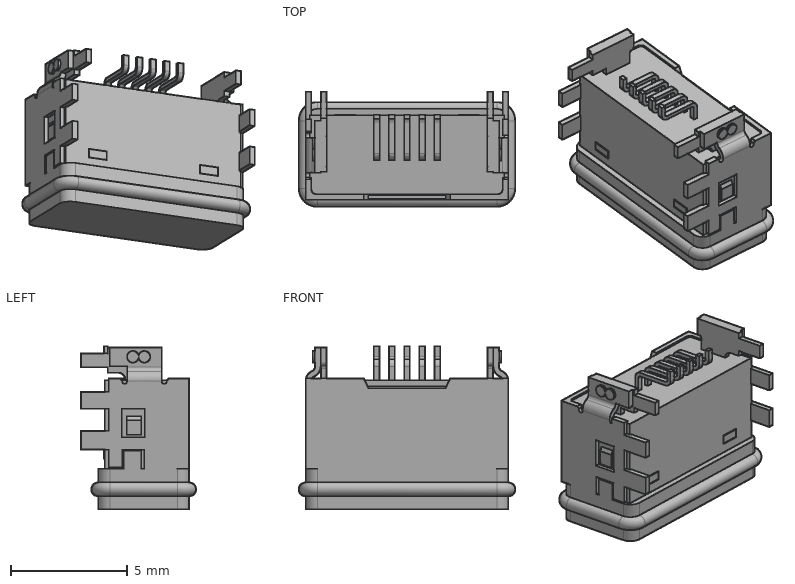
import cadquery as cq
import math

half_width = 4.35
half_depth = 1.95
base_height = 1.75
base_corner_radius = 0.5
seal_radius = 0.3
seal_height = 0.86

core_half_width = 4.17
core_back = 1.67
core_top = 5.54
pad_size = (0.86, 0.04, 0.38)
pad_centre_x = 2.65
pad_bottom = 2.18

sheet = 0.25
shell_top = 5.62
shell_back = 1.51
shell_inner_radius = 0.195
front_inner = sheet - half_depth

notch_top_half = 1.85
notch_floor_half = 1.66
notch_floor = 5.2
lip_height = 0.07
lip_width = 0.15
lip_front = -1.9

leg_end = 2.7
shell_leg_spans = [(2.57, 3.37), (4.315, 5.04)]
plate_leg_span = (6.09, 6.7)

window_y = (-0.05, 0.95)
window_z = (3.1, 4.315)
latch_y = (0.11, 0.73)
latch_z = (3.2, 3.99)
latch_ramp = 0.18
latch_depth = 0.09
slot_y = (-0.02, 0.91)
slot_top = 2.57
tongue_y = (0.11, 0.85)
tongue_top = 2.51
rear_gap = 0.06

tab_y = (-0.78, 0.72)
tab_head_back = 1.45
tab_head_bottom = 6.15
tab_top = 6.95
tab_outer = 3.95
bend_start = 5.515
bend_end = 6.13
outer_bend_radius = 0.46
relief_width = 0.2
relief_bottom = 5.385
relief_chamfer = 0.08
rivet_radius = 0.25
rivet_height = 0.1
rivet_z = 6.55
rivet_centres_y = (-0.03, 0.465)

plate_outer = tab_outer - sheet
plate_front = -0.74
plate_back = 1.54
plate_back_bottom = 5.86
plate_front_bottom = 6.29
foot_back = 0.79
foot_step_radius = 0.11
foot_front = plate_front + 2 * foot_step_radius

pin_count = 5
pin_pitch = 0.65
pin_width = 0.25
pin_thickness = 0.18
pin_inner_radius = 0.12
pin_front = -0.24
pin_back = 1.71
pin_level = 6.445
pin_top = 7.0


def block(x_range, y_range, z_range):
    """Axis-aligned box between the given limits."""
    sizes = [high - low for low, high in (x_range, y_range, z_range)]
    corner = (x_range[0], y_range[0], z_range[0])
    return cq.Workplane("XY").box(*sizes, centered=False).translate(corner)


def side_prism(profile, x_start, thickness):
    """Close the YZ outline drawn by profile and extrude it in +X from x_start."""
    plane = cq.Workplane("YZ", origin=(x_start, 0, 0))
    return profile(plane).close().extrude(thickness)


def make_base():
    base = (
        cq.Workplane("XY")
        .rect(2 * half_width, 2 * half_depth)
        .extrude(base_height)
        .edges("|Z")
        .fillet(base_corner_radius)
    )
    path = base.faces("<Z").wires().val().translate(cq.Vector(0, 0, seal_height))
    seal = (
        cq.Workplane("YZ", origin=(0, -half_depth, seal_height))
        .circle(seal_radius)
        .sweep(cq.Workplane(path))
    )
    return base.union(seal)


def make_core():
    core = block(
        (-core_half_width, core_half_width), (front_inner, core_back), (0, core_top)
    )
    core = core.edges("|Z and <Y").fillet(shell_inner_radius)
    for side in (-1, 1):
        pad = cq.Workplane("XY").box(*pad_size, centered=(True, False, False))
        core = core.union(pad.translate((side * pad_centre_x, core_back, pad_bottom)))
    return core


def make_shell_frame():
    """Front wall and two side walls, open at the back, with the front notch."""
    inner_half = half_width - sheet
    frame = block(
        (-half_width, half_width), (-half_depth, shell_back), (base_height, shell_top)
    )
    opening = block(
        (-inner_half, inner_half), (front_inner, shell_back), (base_height, shell_top)
    )
    frame = frame.cut(opening.edges("|Z and <Y").fillet(shell_inner_radius))
    notch = (
        cq.Workplane("XZ", origin=(0, front_inner, 0))
        .moveTo(-notch_top_half, shell_top)
        .lineTo(notch_top_half, shell_top)
        .lineTo(notch_floor_half, notch_floor)
        .lineTo(-notch_floor_half, notch_floor)
        .close()
        .extrude(sheet)
    )
    lip = block(
        (-notch_floor_half, notch_floor_half),
        (lip_front, lip_front + lip_width),
        (notch_floor, notch_floor + lip_height),
    )
    return frame.cut(notch).union(lip)


def relief_cut(edge_y, direction, wall_x):
    """Round-bottomed relief beside the tab, chamfered on the side away from it."""
    far_y = edge_y + direction * relief_width
    round_centre = relief_bottom + relief_width / 2
    return side_prism(
        lambda plane: plane.moveTo(edge_y, shell_top)
        .lineTo(edge_y, round_centre)
        .threePointArc(((edge_y + far_y) / 2, relief_bottom), (far_y, round_centre))
        .lineTo(far_y, shell_top - relief_chamfer)
        .lineTo(far_y + direction * relief_chamfer, shell_top),
        *wall_x,
    )


def half_relief_cut(edge_y, wall_x):
    """Narrow relief behind the tab, ending in a quarter round."""
    radius = relief_width / 2
    return side_prism(
        lambda plane: plane.moveTo(edge_y, shell_top)
        .lineTo(edge_y, relief_bottom + radius)
        .radiusArc((edge_y + radius, relief_bottom), -radius)
        .lineTo(edge_y + radius, shell_top),
        *wall_x,
    )


def cut_side_wall(frame, narrow_back_relief):
    """Openings in the +X wall of the shell."""
    wall_start = half_width - sheet
    wall = (wall_start, half_width)
    frame = frame.cut(block(wall, window_y, window_z))
    frame = frame.cut(block(wall, slot_y, (base_height, slot_top)))
    frame = frame.union(block(wall, tongue_y, (base_height, tongue_top)))
    frame = frame.cut(
        block(wall, (tongue_y[1], shell_back), (base_height, base_height + rear_gap))
    )
    frame = frame.cut(block(wall, tab_y, (bend_start, shell_top)))
    tab_front, tab_back = tab_y
    wall_x = (wall_start, sheet)
    frame = frame.cut(relief_cut(tab_front, -1, wall_x))
    if narrow_back_relief:
        return frame.cut(half_relief_cut(tab_back, wall_x))
    return frame.cut(relief_cut(tab_back, 1, wall_x))


def make_shell_legs():
    legs = cq.Workplane("XY")
    for span in shell_leg_spans:
        legs = legs.union(block((half_width - sheet, half_width), (shell_back, leg_end), span))
    return legs


def make_latch():
    """Catch on the core, seen through the window, ramped at its top."""
    return (
        cq.Workplane("XZ", origin=(0, latch_y[1], 0))
        .moveTo(core_half_width, latch_z[0])
        .lineTo(core_half_width + latch_depth, latch_z[0])
        .lineTo(core_half_width + latch_depth, latch_z[1] - latch_ramp)
        .lineTo(core_half_width, latch_z[1])
        .close()
        .extrude(latch_y[1] - latch_y[0])
    )


def make_tab():
    """S-bent tab: two bends of equal and opposite angle, then a flat riveted head."""
    rise = bend_end - bend_start
    shift = half_width - tab_outer
    angle = 2 * math.atan2(shift, rise)
    upper_outer = rise / math.sin(angle) - outer_bend_radius
    lower_centre = (half_width - outer_bend_radius, bend_start)
    upper_centre = (tab_outer + upper_outer, bend_end)

    def on_lower(radius, turn):
        return (
            lower_centre[0] + radius * math.cos(turn),
            lower_centre[1] + radius * math.sin(turn),
        )

    def on_upper(radius, turn):
        return (
            upper_centre[0] - radius * math.cos(turn),
            upper_centre[1] - radius * math.sin(turn),
        )

    lower_inner = outer_bend_radius - sheet
    upper_inner = upper_outer + sheet
    strip = (
        cq.Workplane("XZ", origin=(0, tab_y[1], 0))
        .moveTo(half_width, bend_start)
        .threePointArc(on_lower(outer_bend_radius, angle / 2), on_lower(outer_bend_radius, angle))
        .threePointArc(on_upper(upper_outer, angle / 2), on_upper(upper_outer, 0))
        .lineTo(tab_outer, tab_top)
        .lineTo(plate_outer, tab_top)
        .lineTo(plate_outer, bend_end)
        .threePointArc(on_upper(upper_inner, angle / 2), on_upper(upper_inner, angle))
        .threePointArc(on_lower(lower_inner, angle / 2), on_lower(lower_inner, 0))
        .close()
        .extrude(tab_y[1] - tab_y[0])
    )
    head = block(
        (plate_outer, tab_outer), (tab_y[0], tab_head_back), (tab_head_bottom, tab_top)
    )
    tab = strip.union(head)
    for centre_y in rivet_centres_y:
        rivet = cq.Workplane("YZ", origin=(plate_outer, centre_y, rivet_z)).circle(rivet_radius)
        tab = tab.union(rivet.extrude(sheet + rivet_height))
    return tab


def make_plate(filleted_back):
    """Plate standing on the core, with a stepped foot and a leg to the back."""
    plate_x = (plate_outer - sheet, plate_outer)
    step = foot_step_radius
    plate = side_prism(
        lambda plane: plane.moveTo(foot_front, core_top)
        .lineTo(foot_front, plate_front_bottom - 2 * step)
        .radiusArc((foot_front - step, plate_front_bottom - step), -step)
        .radiusArc((plate_front, plate_front_bottom), step)
        .lineTo(plate_front, tab_top)
        .lineTo(plate_back, tab_top)
        .lineTo(plate_back, plate_back_bottom)
        .lineTo(foot_back, plate_back_bottom)
        .lineTo(foot_back, core_top),
        plate_x[0],
        sheet,
    )
    if filleted_back:
        radius = plate_back_bottom - core_top
        fillet = side_prism(
            lambda plane: plane.moveTo(foot_back, core_top)
            .lineTo(foot_back, plate_back_bottom)
            .lineTo(foot_back + radius, plate_back_bottom)
            .radiusArc((foot_back, core_top), -radius),
            plate_x[0],
            sheet,
        )
        plate = plate.union(fillet)
    leg = block(plate_x, (plate_back, leg_end), plate_leg_span)
    return plate.union(leg)


def make_pin(centre_x):
    """Pin rising from the core, running backwards, then turning up again."""
    outer_radius = pin_inner_radius + pin_thickness
    lower_level = pin_level - pin_thickness
    return side_prism(
        lambda plane: plane.moveTo(pin_front, core_top)
        .lineTo(pin_front, pin_level - outer_radius)
        .radiusArc((pin_front + outer_radius, pin_level), outer_radius)
        .lineTo(pin_back - outer_radius, pin_level)
        .radiusArc((pin_back - pin_thickness, pin_level + pin_inner_radius), -pin_inner_radius)
        .lineTo(pin_back - pin_thickness, pin_top)
        .lineTo(pin_back, pin_top)
        .lineTo(pin_back, lower_level + outer_radius)
        .radiusArc((pin_back - outer_radius, lower_level), outer_radius)
        .lineTo(pin_front + outer_radius, lower_level)
        .radiusArc((pin_front + pin_thickness, lower_level - pin_inner_radius), -pin_inner_radius)
        .lineTo(pin_front + pin_thickness, core_top),
        centre_x - pin_width / 2,
        pin_width,
    )


def both_sides(solid):
    return solid.union(solid.mirror("YZ"))


shell = cut_side_wall(make_shell_frame(), narrow_back_relief=False).mirror("YZ")
shell = cut_side_wall(shell, narrow_back_relief=True)

result = make_base().union(make_core()).union(shell)
for side_part in (make_shell_legs(), make_latch(), make_tab()):
    result = result.union(both_sides(side_part))
result = result.union(make_plate(filleted_back=True).mirror("YZ"))
result = result.union(make_plate(filleted_back=False))
for index in range(pin_count):
    result = result.union(make_pin((index - (pin_count - 1) / 2) * pin_pitch))